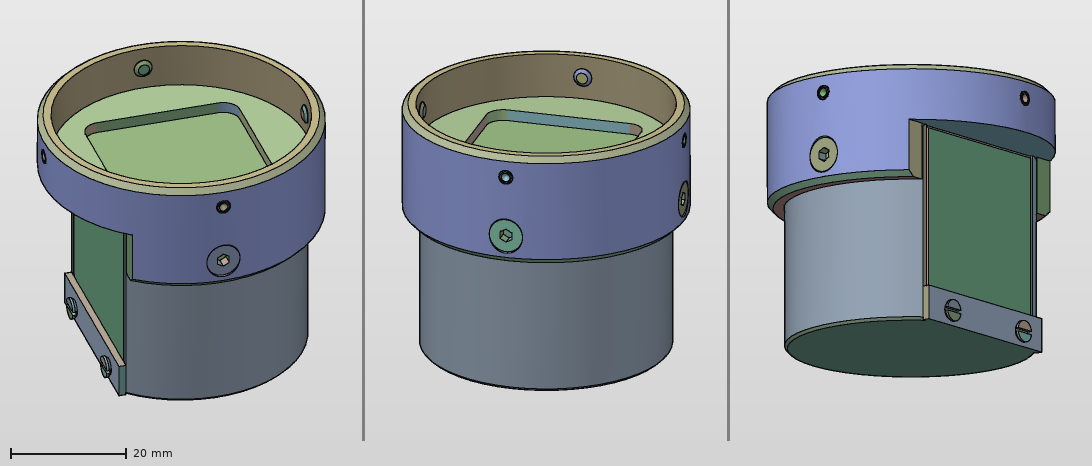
import cadquery as cq

cap_radius = 25.0
cap_chamfer = 1.0
cap_bottom = 25.0
cap_top = 45.0
bore_diameter = 45.2
bore_depth = 8.0

pocket_side = 28.0
pocket_corner_radius = 3.0
pocket_depth = 2.0

body_radius = 22.0
body_chamfer = 0.5
cap_clearance = 0.15
flat_y = -15.0
flat_top = 35.0

plate_width = 32.0
plate_height = 6.0
plate_thickness = 1.25
plate_front_y = flat_y - plate_thickness

panel_width = 30.0
panel_bevel = 0.5

plate_screw_x = 10.0
plate_screw_z = 2.5
head_neck_diameter = 3.0
head_diameter = 3.8
head_taper = 0.5
head_rim = 0.45
slot_width = 0.6
slot_depth = 0.7

set_screw_z = 41.0
set_screw_angles = (0, 90, 180, 270)
set_screw_diameter = 2.5
set_screw_end_diameter = 2.0
cup_diameter = 1.55
tip_base_diameter = 3.25
tip_end_diameter = 2.0
tip_shoulder = 0.15
tip_projection = 0.6

bolt_z = 30.0
bolt_angles = (0, 90, 180)
bolt_diameter = 6.0
bolt_recess = 0.2
hex_diameter = 2.45
hex_depth = 2.0


def cylinder_between(radius, bottom, top):
    return cq.Workplane("XY").workplane(offset=bottom).circle(radius).extrude(top - bottom)


def box_between(x_range, y_range, z_range):
    size = [high - low for low, high in (x_range, y_range, z_range)]
    corner = (x_range[0], y_range[0], z_range[0])
    return cq.Workplane("XY").box(*size, centered=False).translate(corner)


def revolve_about_x(points):
    """Revolve an outline of (x, radius) points about the X axis."""
    return cq.Workplane("XY").polyline(points).close().revolve(360, (0, 0, 0), (1, 0, 0))


def around_axis(tool, angle, height):
    """Move a tool lying along +X to a height and swing it around the Z axis."""
    return tool.translate((0, 0, height)).rotate((0, 0, 0), (0, 0, 1), angle)


def make_housing():
    cap = cylinder_between(cap_radius, cap_bottom, cap_top).faces("<Z or >Z").chamfer(cap_chamfer)
    socket = cylinder_between(body_radius + cap_clearance, cap_bottom, flat_top)
    body = cylinder_between(body_radius, 0, flat_top).faces("<Z or >Z").chamfer(body_chamfer)
    beyond_flat = box_between((-cap_radius, cap_radius), (-cap_radius, flat_y), (0, flat_top))
    return cap.cut(socket).union(body).cut(beyond_flat)


def make_bore():
    floor = cap_top - bore_depth
    bore = cylinder_between(bore_diameter / 2, floor, cap_top)
    pocket = (
        cq.Workplane("XY")
        .workplane(offset=floor)
        .rect(pocket_side, pocket_side)
        .extrude(-pocket_depth)
        .edges("|Z")
        .fillet(pocket_corner_radius)
    )
    return bore.union(pocket)


def make_panel_groove():
    """Groove with upright outer walls, and an inner side formed by the bevelled panel."""
    half = panel_width / 2
    side_profile = [(half, flat_y), (half, flat_y + panel_bevel), (half - panel_bevel, flat_y)]
    side = (
        cq.Workplane("XY")
        .workplane(offset=plate_height)
        .polyline(side_profile)
        .close()
        .extrude(flat_top - plate_height)
    )
    top_profile = [(flat_y, flat_top), (flat_y + panel_bevel, flat_top), (flat_y, flat_top - panel_bevel)]
    top = cq.Workplane("YZ").polyline(top_profile).close().extrude(half, both=True)
    return side.union(side.mirror("YZ")).union(top)


def make_plate():
    return box_between((-plate_width / 2, plate_width / 2), (plate_front_y, flat_y), (0, plate_height))


def make_plate_screw(x):
    """Screw head flaring outward from the plate, with a slot across its face."""
    head_height = head_taper + head_rim
    neck = head_neck_diameter / 2
    rim = head_diameter / 2
    outline = [(0, 0), (0, neck), (head_taper, rim), (head_height, rim), (head_height, 0)]
    slot_floor = head_height - slot_depth
    slot = box_between((slot_floor, head_height), (-rim, rim), (-slot_width / 2, slot_width / 2))
    head = revolve_about_x(outline).cut(slot)
    return head.rotate((0, 0, 0), (0, 0, 1), -90).translate((x, plate_front_y, plate_screw_z))


def make_set_screw_cut():
    """Bevel around the outer end of a set screw, and the conical cup in that end."""
    outer = set_screw_diameter / 2
    inner = set_screw_end_diameter / 2
    bevel = outer - inner
    cup = cup_diameter / 2
    ring = revolve_about_x([(cap_radius, inner), (cap_radius, outer), (cap_radius - bevel, outer)])
    return ring.union(revolve_about_x([(cap_radius, 0), (cap_radius, cup), (cap_radius - cup, 0)]))


def make_set_screw_tip():
    """Tip of a set screw, rooted in the cap wall and tapering as it stands into the bore."""
    bore_radius = bore_diameter / 2
    root_x = (bore_radius + cap_radius) / 2
    shoulder_x = bore_radius - tip_shoulder
    end_x = bore_radius - tip_projection
    base = tip_base_diameter / 2
    end = tip_end_diameter / 2
    return revolve_about_x([(root_x, 0), (root_x, base), (shoulder_x, base), (end_x, end), (end_x, 0)])


def make_bolt_cut():
    """Countersink down to the flat face of a bolt, and the hexagonal socket in that face."""
    face_x = cap_radius - bolt_recess
    radius = bolt_diameter / 2
    countersink = revolve_about_x(
        [(face_x, 0), (face_x, radius), (cap_radius, radius + bolt_recess), (cap_radius, 0)]
    )
    socket = cq.Workplane("YZ").polygon(6, hex_diameter).extrude(-hex_depth)
    return countersink.union(socket.rotate((0, 0, 0), (1, 0, 0), 90).translate((face_x, 0, 0)))


result = make_housing().cut(make_bore()).cut(make_panel_groove()).union(make_plate())
for side in (-1, 1):
    result = result.union(make_plate_screw(side * plate_screw_x))
for angle in set_screw_angles:
    result = result.cut(around_axis(make_set_screw_cut(), angle, set_screw_z))
    result = result.union(around_axis(make_set_screw_tip(), angle, set_screw_z))
for angle in bolt_angles:
    result = result.cut(around_axis(make_bolt_cut(), angle, bolt_z))